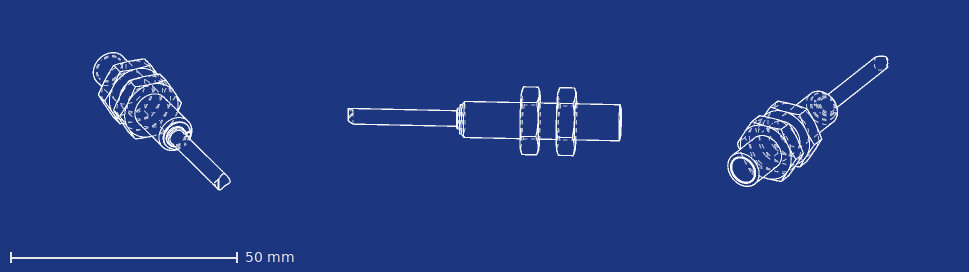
import cadquery as cq

total_length = 60.2
body_diameter = 8.0
neck_diameter = 6.5
front_chamfer_length = 0.25
body_end = 35.05
rear_chamfer_length = 0.55
neck_end = 35.45

groove_outer_diameter = 6.3
groove_inner_diameter = 5.9
groove_depth = 0.2

nut_flats = 13.0
nut_corners = 15.0
nut_thickness = 4.0
nut_chamfer_length = 0.35
first_nut_start = 10.0
nut_pitch = 8.0
nut_count = 2

cable_offset = -0.35
cable_diameter = 3.5
collar_diameter = 4.7
collar_end = 36.2
collar_chamfer = 0.25

lamp_diameter = 0.95
lamp_length = 0.4
lamp_y = 2.6

break_upper_edge = 0.1
break_valley = 1.2
break_middle = 0.55
break_lower_edge = 0.85
valley_y = 0.8
middle_y = -0.3
crest_y = -1.1


def rod(start, end, diameter, y=0):
    """Cylinder along X between two stations."""
    return (
        cq.Workplane("YZ", origin=(start, y, 0))
        .circle(diameter / 2)
        .extrude(end - start)
    )


def revolve_about_x(points):
    """Solid of revolution from (x, radius) points."""
    return cq.Workplane("XY").polyline(points).close().revolve(360, (0, 0, 0), (1, 0, 0))


def make_body():
    body_radius = body_diameter / 2
    neck_radius = neck_diameter / 2
    body = revolve_about_x([
        (0, 0),
        (0, neck_radius),
        (front_chamfer_length, body_radius),
        (body_end - rear_chamfer_length, body_radius),
        (body_end, neck_radius),
        (neck_end, neck_radius),
        (neck_end, 0),
    ])
    groove = rod(0, groove_depth, groove_outer_diameter).cut(rod(0, groove_depth, groove_inner_diameter))
    return body.cut(groove)


def make_nut(start):
    end = start + nut_thickness
    hexagon = (
        cq.Workplane("YZ", origin=(start, 0, 0))
        .polygon(6, nut_corners)
        .extrude(nut_thickness)
    )
    envelope = revolve_about_x([
        (start, 0),
        (start, nut_flats / 2),
        (start + nut_chamfer_length, nut_corners / 2),
        (end - nut_chamfer_length, nut_corners / 2),
        (end, nut_flats / 2),
        (end, 0),
    ])
    return hexagon.intersect(envelope)


def make_cable():
    radius = cable_diameter / 2
    cable = rod(body_end, total_length, cable_diameter, cable_offset)
    wave = [
        (total_length - break_valley, valley_y),
        (total_length - break_middle, middle_y),
        (total_length, crest_y),
        (total_length - break_lower_edge, -radius),
    ]
    outline = (
        cq.Workplane("XY", origin=(0, cable_offset, 0))
        .moveTo(body_end, -radius)
        .lineTo(body_end, radius)
        .lineTo(total_length - break_upper_edge, radius)
        .spline(wave, includeCurrent=True)
        .close()
        .extrude(radius, both=True)
    )
    return cable.intersect(outline)


def make_collar():
    collar = rod(body_end, collar_end, collar_diameter, cable_offset)
    return collar.faces(">X").chamfer(collar_chamfer)


def make_lamp():
    return rod(body_end, neck_end + lamp_length, lamp_diameter, lamp_y)


result = make_body()
for index in range(nut_count):
    result = result.union(make_nut(first_nut_start + index * nut_pitch))
result = result.union(make_collar())
result = result.union(make_lamp())
result = result.union(make_cable())